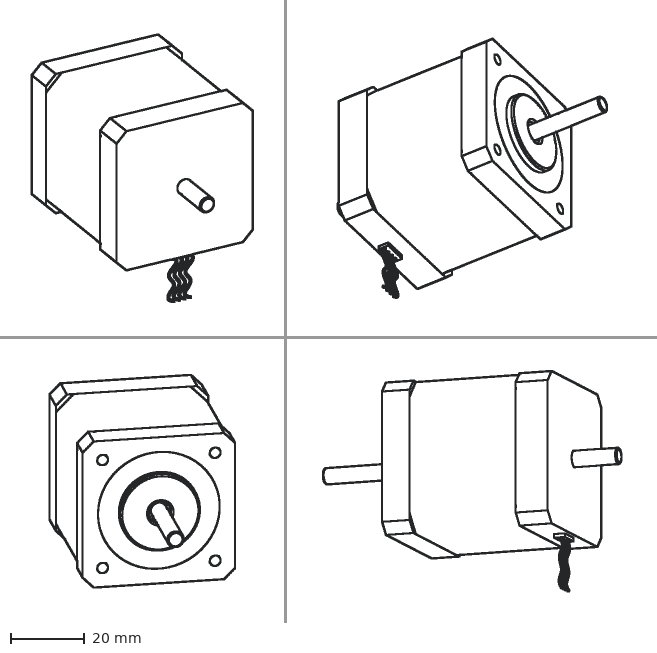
import cadquery as cq


BODY_WIDTH = 42.0
CAP_CHAMFER = 3.05
FRONT_CAP_LENGTH = 8.0
STATOR_LENGTH = 30.6
REAR_CAP_LENGTH = 9.2
STATOR_CHAMFER = 4.9
STATOR_EDGE_RADIUS = 0.85

STATOR_START = FRONT_CAP_LENGTH
REAR_CAP_START = STATOR_START + STATOR_LENGTH
REAR_FACE = REAR_CAP_START + REAR_CAP_LENGTH

HOLE_PITCH = 31.0
HOLE_DIAMETER = 3.0

TURNED_DIAMETER = 33.5
TURNED_DEPTH = 0.1

PILOT_DIAMETER = 22.0
PILOT_HEIGHT = 2.0
PILOT_CHAMFER = 0.5
RECESS_DIAMETER = 6.1
RECESS_DEPTH = 2.0
RECESS_CHAMFER = 0.6

SHAFT_DIAMETER = 4.5
SHAFT_LENGTH = 84.7
SHAFT_FRONT_REACH = 24.05
SHAFT_CHAMFER = 0.3

CONNECTOR_LENGTH = 3.05
CONNECTOR_WIDTH = 6.95
CONNECTOR_HEIGHT = 1.0
CONNECTOR_SETBACK = 3.05
CONNECTOR_X = REAR_FACE - CONNECTOR_SETBACK
CONNECTOR_BOTTOM = -BODY_WIDTH / 2 - CONNECTOR_HEIGHT
WIRE_COUNT = 4
WIRE_PITCH = 1.7
WIRE_DIAMETER = 0.5
WIRE_BENDS = [(1.6, 2.0), (-0.7, 5.4), (0.9, 8.5), (-0.85, 11.7), (0.9, 13.5)]


def chamfered_block(start, length, chamfer):
    """Square block along X with its four long edges chamfered."""
    block = cq.Workplane("YZ", origin=(start, 0, 0)).rect(BODY_WIDTH, BODY_WIDTH).extrude(length)
    return block.edges("|X").chamfer(chamfer)


def x_cylinder(start, length, diameter):
    """Round bar on the motor axis."""
    return cq.Workplane("YZ", origin=(start, 0, 0)).circle(diameter / 2).extrude(length)


def make_shaft():
    shaft = x_cylinder(-SHAFT_FRONT_REACH, SHAFT_LENGTH, SHAFT_DIAMETER)
    return shaft.faces("<X or >X").chamfer(SHAFT_CHAMFER)


def make_front_cap(shaft):
    cap = chamfered_block(0, FRONT_CAP_LENGTH, CAP_CHAMFER)
    holes = (
        cq.Workplane("YZ")
        .rect(HOLE_PITCH, HOLE_PITCH, forConstruction=True)
        .vertices()
        .circle(HOLE_DIAMETER / 2)
        .extrude(FRONT_CAP_LENGTH)
    )
    turned_ring = x_cylinder(0, TURNED_DEPTH, TURNED_DIAMETER)
    pilot = x_cylinder(-PILOT_HEIGHT, PILOT_HEIGHT + TURNED_DEPTH, PILOT_DIAMETER)
    pilot = pilot.faces("<X").chamfer(PILOT_CHAMFER)
    recess = x_cylinder(-PILOT_HEIGHT, RECESS_DEPTH, RECESS_DIAMETER)
    cap = cap.cut(holes).cut(turned_ring).union(pilot).cut(recess)
    recess_rim = cap.faces("<X").edges(cq.selectors.RadiusNthSelector(0))
    cap = recess_rim.chamfer(RECESS_CHAMFER)
    return cap.cut(shaft)


def make_stator(shaft):
    stator = chamfered_block(STATOR_START, STATOR_LENGTH, STATOR_CHAMFER)
    return stator.edges("|X").fillet(STATOR_EDGE_RADIUS).cut(shaft)


def make_rear_cap(shaft):
    return chamfered_block(REAR_CAP_START, REAR_CAP_LENGTH, CAP_CHAMFER).cut(shaft)


def make_wire(root_y):
    """Wavy wire hanging from the connector, bending in a plane square to X."""
    root = cq.Vector(CONNECTOR_X, root_y, CONNECTOR_BOTTOM)
    bends = [root + cq.Vector(0, side, -drop) for side, drop in WIRE_BENDS]
    path = cq.Edge.makeSpline([root] + bends)
    start = cq.Plane(origin=root, xDir=(1, 0, 0), normal=path.tangentAt(0))
    return cq.Workplane(start).circle(WIRE_DIAMETER / 2).sweep(cq.Workplane(path))


def make_lead():
    connector = cq.Workplane("XY", origin=(CONNECTOR_X, 0, CONNECTOR_BOTTOM)).box(
        CONNECTOR_LENGTH, CONNECTOR_WIDTH, CONNECTOR_HEIGHT, centered=(True, True, False)
    )
    lead = connector
    for i in range(WIRE_COUNT):
        root_y = (i - (WIRE_COUNT - 1) / 2) * WIRE_PITCH
        lead = lead.union(make_wire(root_y))
    return lead


shaft = make_shaft()
front_cap = make_front_cap(shaft)
stator = make_stator(shaft)
rear_cap = make_rear_cap(shaft)
lead = make_lead()

result = cq.Compound.makeCompound(
    [shaft.val(), front_cap.val(), stator.val(), rear_cap.val(), lead.val()]
)